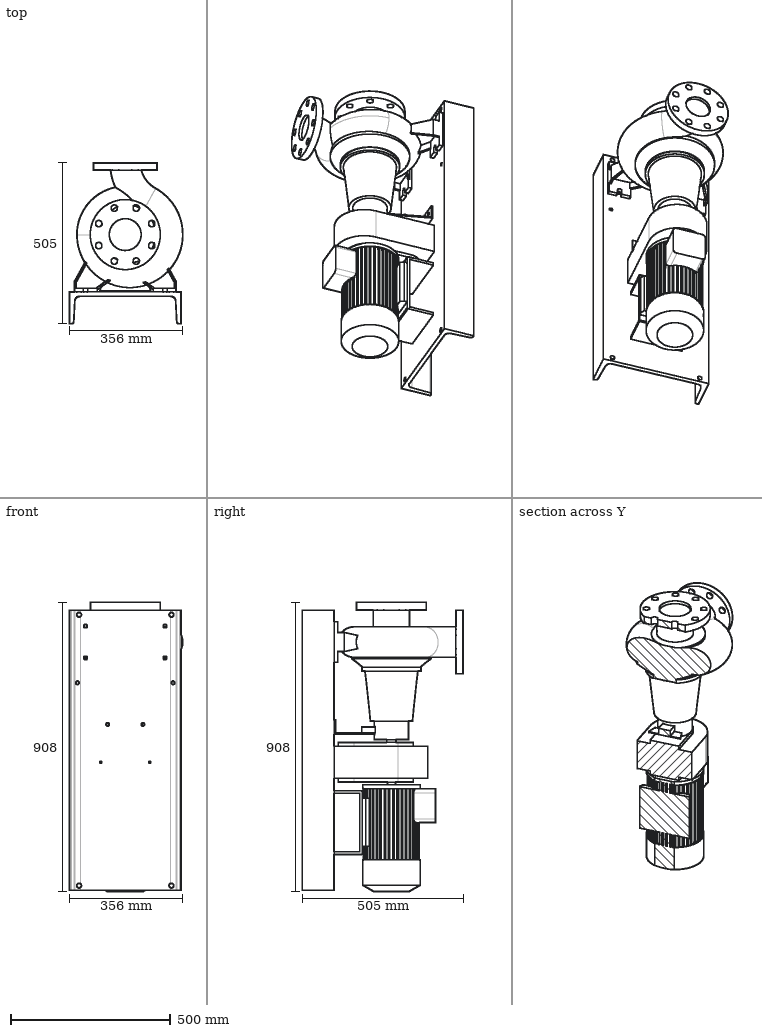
import cadquery as cq
import math


shaft_height = 180.0
channel_width = 350.0
channel_depth = 100.0
channel_length = 880.0
channel_top = 100.5
channel_bottom = channel_top - channel_length
web_thickness = 14.0
flange_mean_thickness = 16.0
flange_taper = 0.05
root_radius = 16.0
toe_radius = 8.0
anchor_hole_diameter = 14.0
anchor_hole_x = 145.0
anchor_hole_margin = 15.0
side_hole_diameter = 10.0
side_hole_x = 150.0
side_hole_z = -128.0
guard_hole_diameter = 6.0
guard_hole_x = 77.0

suction_face_z = 125.0
suction_flange_diameter = 220.0
suction_flange_thickness = 25.0
suction_bolt_circle = 180.0
suction_bore = 100.0
suction_neck_diameter = 115.0
discharge_face_y = 225.0
discharge_flange_diameter = 200.0
discharge_flange_thickness = 23.0
discharge_bolt_circle = 160.0
discharge_bore = 80.0
bolt_hole_diameter = 20.0
bolt_count = 8
bore_depth = 10.0

tube_radius = 48.0
scroll_center_x = 14.5
scroll_radius = 118.5
tongue_outer_radius = scroll_radius - scroll_center_x + tube_radius
tongue_end_tube_radius = 38.0
tongue_sweep = 120.0
tongue_section_count = 5
side_wall_radius = 95.0
side_wall_z = 37.0

cover_top_z = -30.0
cover_rim_z = -52.0
cover_rim_radius = 125.0
cover_cone_end_z = -79.0
cover_cone_end_radius = 91.0
collar_end_z = -91.0
collar_radius = 93.0
bearing_taper_end_z = -248.5
bearing_taper_top_radius = 83.5
bearing_taper_end_radius = 66.5
bearing_end_z = -306.5
bearing_radius = 54.0
pump_shaft_radius = 15.0

foot_outer_x = 160.0
foot_plate_thickness = 12.0
foot_plate_height = 128.0
foot_slot_width = 14.0
foot_hole_x = 125.0
foot_hole_z = 50.0
foot_hole_diameter = 10.0
foot_wall_thickness = 6.0
foot_web_thickness = 12.0
foot_outer_knee_y = -148.0
foot_outer_end = (117.0, -70.0)
foot_inner_base_x = 88.0
foot_inner_knee_y = -173.0
foot_inner_end = (30.0, -132.0)
foot_narrow_y = -70.0
foot_narrow_half_height = 13.0
foot_wide_half_height = 30.0

rear_foot_half_width = 80.0
rear_foot_thickness = 4.5
rear_foot_top_z = -244.0
rear_foot_bottom_z = -290.0
rear_foot_hole_x = 55.0
rear_foot_hole_z = -258.5
rear_foot_hole_diameter = 10.0
rear_foot_block_half_width = 20.0
rear_foot_block_top_z = -266.0
rear_foot_block_end_y = -93.5
rear_foot_strip_end_half_width = 45.0
rear_foot_strip_end_y = -52.0
rear_foot_block_inner_y = -50.0

guard_top_z = -327.0
guard_bottom_z = -428.0
guard_radius = 94.0
guard_center_y = 20.0
guard_rim_height = 12.0
guard_rim_radius = 49.0
guard_rim_end_y = -167.0

motor_shaft_radius = 13.0
motor_top_z = -447.5
motor_flange_end_z = -460.5
motor_radius = 90.5
fin_end_z = -684.0
fin_tip_radius = 88.0
fin_root_radius = 79.0
fin_width = 9.0
fin_count = 40
fan_cover_end_z = -763.5
fan_cover_tip_z = -783.0
fan_cover_tip_radius = 56.0
terminal_box_width = 107.0
terminal_box_height = 106.0
terminal_box_end_y = 139.0
terminal_box_edge_radius = 12.0
motor_foot_top_z = -490.0
motor_foot_bottom_z = -641.0
motor_foot_half_width = 85.0
motor_foot_edge_y = -81.0
motor_foot_shoulder_half_width = 78.0
motor_foot_shoulder_y = -69.0

bracket_half_width = 85.0
bracket_face_y = -91.0
bracket_thickness = 9.0
bracket_top_z = -466.0
bracket_bottom_z = -667.0
bracket_corner_chamfer = 3.0


def box_between(x_range, y_range, z_range):
    """Box given by its limits along each axis."""
    size = [high - low for low, high in (x_range, y_range, z_range)]
    corner = (x_range[0], y_range[0], z_range[0])
    return cq.Workplane("XY").box(*size, centered=False).translate(corner)


def cylinder_between(radius, bottom_z, top_z, center=(0, 0)):
    """Upright cylinder between two heights."""
    plane = cq.Workplane("XY", origin=(center[0], center[1], bottom_z))
    return plane.circle(radius).extrude(top_z - bottom_z)


def holes_along_y(points, diameter, depth):
    """Drills running back from the mounting plane y = -shaft_height to both sides by depth."""
    plane = cq.Workplane("XZ", origin=(0, -shaft_height, 0))
    return plane.pushPoints(points).circle(diameter / 2).extrude(depth, both=True)


def make_baseplate():
    half_width = channel_width / 2
    tip_y = -shaft_height - channel_depth
    web_inner_y = -shaft_height - web_thickness
    toe_x = half_width - flange_mean_thickness + flange_taper * channel_depth / 2
    root_x = toe_x - flange_taper * (channel_depth - web_thickness)
    outline = [
        (-half_width, -shaft_height),
        (half_width, -shaft_height),
        (half_width, tip_y),
        (toe_x, tip_y),
        (root_x, web_inner_y),
        (-root_x, web_inner_y),
        (-toe_x, tip_y),
        (-half_width, tip_y),
    ]
    bottom_plane = cq.Workplane("XY", origin=(0, 0, channel_bottom))
    channel = bottom_plane.polyline(outline).close().extrude(channel_length)
    middle_z = channel_bottom + channel_length / 2
    for side in (-1, 1):
        root_edge = cq.selectors.NearestToPointSelector((side * root_x, web_inner_y, middle_z))
        channel = channel.edges("|Z").edges(root_edge).fillet(root_radius)
        toe_edge = cq.selectors.NearestToPointSelector((side * toe_x, tip_y, middle_z))
        channel = channel.edges("|Z").edges(toe_edge).fillet(toe_radius)

    guard_hole_z = (guard_top_z + guard_bottom_z) / 2
    anchor_rows = (channel_top - anchor_hole_margin, channel_bottom + anchor_hole_margin)
    hole_rows = [
        (anchor_hole_x, anchor_rows, anchor_hole_diameter),
        (foot_hole_x, (foot_hole_z, -foot_hole_z), foot_hole_diameter),
        (side_hole_x, (side_hole_z,), side_hole_diameter),
        (rear_foot_hole_x, (rear_foot_hole_z,), rear_foot_hole_diameter),
        (guard_hole_x, (guard_hole_z,), guard_hole_diameter),
    ]
    for x, rows, diameter in hole_rows:
        points = [(side * x, z) for side in (-1, 1) for z in rows]
        channel = channel.cut(holes_along_y(points, diameter, web_thickness + root_radius))
    return channel


def make_tube_arc(center, radius, start_angle, sweep):
    """Round tube bent in the XY plane, running counterclockwise from start_angle."""
    section = cq.Workplane("XZ").center(radius, 0).circle(tube_radius)
    arc = section.revolve(sweep, (-radius, 0), (-radius, 1))
    return arc.rotate((0, 0, 0), (0, 0, 1), start_angle).translate((center[0], center[1], 0))


def make_tongue():
    """Narrowing start of the volute, bent about the shaft with a constant outer radius."""
    sections = []
    for index in range(tongue_section_count):
        fraction = index / (tongue_section_count - 1)
        angle = math.radians(180 - fraction * tongue_sweep)
        radius = tube_radius + fraction * (tongue_end_tube_radius - tube_radius)
        outward = cq.Vector(math.cos(angle), math.sin(angle), 0)
        along = cq.Vector(math.sin(angle), -math.cos(angle), 0)
        center = outward * (tongue_outer_radius - radius)
        sections.append(cq.Wire.makeCircle(radius, center, along))
    return cq.Workplane(cq.Solid.makeLoft(sections))


def make_volute():
    bend_radius = (scroll_center_x**2 + discharge_face_y**2 - scroll_radius**2) / (
        2 * (scroll_radius + scroll_center_x)
    )
    seam_angle = math.degrees(math.atan2(discharge_face_y, bend_radius - scroll_center_x))
    scroll = make_tube_arc((scroll_center_x, 0), scroll_radius, 180, 180 + seam_angle)
    outlet = make_tube_arc((bend_radius, discharge_face_y), bend_radius, 180, seam_angle)
    side_walls = cylinder_between(side_wall_radius, -side_wall_z, side_wall_z)
    return side_walls.union(scroll).union(outlet).union(make_tongue())


def make_pipe_flange(diameter, thickness, bolt_circle):
    """Flange with its face at Z = 0, the bolt holes straddling the axes."""
    flange = cylinder_between(diameter / 2, -thickness, 0)
    half_step = 180 / bolt_count
    holes = cq.Workplane("XY").polarArray(bolt_circle / 2, half_step, 360, bolt_count)
    return flange.cut(holes.circle(bolt_hole_diameter / 2).extrude(-thickness))


def make_bearing_bracket():
    """Casing cover, tapered bracket, bearing housing and shaft end, turned about Z."""
    profile = [
        (0, cover_top_z),
        (cover_rim_radius, cover_top_z),
        (cover_rim_radius, cover_rim_z),
        (cover_cone_end_radius, cover_cone_end_z),
        (collar_radius, cover_cone_end_z),
        (collar_radius, collar_end_z),
        (bearing_taper_top_radius, collar_end_z),
        (bearing_taper_end_radius, bearing_taper_end_z),
        (bearing_radius, bearing_taper_end_z),
        (bearing_radius, bearing_end_z),
        (pump_shaft_radius, bearing_end_z),
        (pump_shaft_radius, guard_top_z + guard_rim_height),
        (0, guard_top_z + guard_rim_height),
    ]
    return cq.Workplane("XZ").polyline(profile).close().revolve(360, (0, 0), (0, 1))


def make_front_foot():
    """Foot on the +X side: slotted plate with two flared walls joined by a thin web."""
    plate_y = -shaft_height + foot_plate_thickness
    half_height = foot_plate_height / 2
    plate_x = (foot_inner_base_x, foot_outer_x)
    plate = box_between(plate_x, (-shaft_height, plate_y), (-half_height, half_height))
    for end in (-1, 1):
        slot_run = 2 * (half_height - foot_hole_z) + foot_slot_width
        slot = cq.Workplane("XZ", origin=(0, plate_y, 0)).center(foot_hole_x, end * half_height)
        plate = plate.cut(slot.slot2D(slot_run, foot_slot_width, 90).extrude(foot_plate_thickness))

    outer_line = [
        (foot_outer_x, -shaft_height),
        (foot_outer_x, foot_outer_knee_y),
        foot_outer_end,
    ]
    inner_line = [
        foot_inner_end,
        (foot_inner_base_x, foot_inner_knee_y),
        (foot_inner_base_x, -shaft_height),
    ]
    profile = cq.Workplane("XY", origin=(0, 0, -foot_wide_half_height))
    profile = profile.polyline(outer_line + inner_line).close()
    block = profile.extrude(2 * foot_wide_half_height)

    pocket_plane = cq.Workplane("XY", origin=(0, 0, foot_web_thickness / 2))
    pocket_outline = pocket_plane.polyline(outer_line + inner_line).close()
    pocket = pocket_outline.offset2D(-foot_wall_thickness, "intersection").extrude(foot_wide_half_height)
    block = block.cut(pocket).cut(pocket.mirror("XY"))

    flare = [
        (foot_narrow_y, foot_narrow_half_height),
        (foot_outer_knee_y, foot_wide_half_height),
        (-shaft_height, foot_wide_half_height),
        (-shaft_height, -foot_wide_half_height),
        (foot_outer_knee_y, -foot_wide_half_height),
        (foot_narrow_y, -foot_narrow_half_height),
    ]
    block = block.intersect(cq.Workplane("YZ").polyline(flare).close().extrude(foot_outer_x))
    return plate.union(block)


def make_rear_foot():
    x_range = (-rear_foot_half_width, rear_foot_half_width)
    upright_y = -shaft_height + rear_foot_thickness
    strip_top_z = rear_foot_bottom_z + rear_foot_thickness
    upright = box_between(x_range, (-shaft_height, upright_y), (rear_foot_bottom_z, rear_foot_top_z))
    holes = [(side * rear_foot_hole_x, rear_foot_hole_z) for side in (-1, 1)]
    upright = upright.cut(holes_along_y(holes, rear_foot_hole_diameter, rear_foot_thickness))
    strip_outline = [
        (-rear_foot_half_width, -shaft_height),
        (rear_foot_half_width, -shaft_height),
        (rear_foot_strip_end_half_width, rear_foot_strip_end_y),
        (-rear_foot_strip_end_half_width, rear_foot_strip_end_y),
    ]
    strip_plane = cq.Workplane("XY", origin=(0, 0, rear_foot_bottom_z))
    strip = strip_plane.polyline(strip_outline).close().extrude(rear_foot_thickness)
    block_x = (-rear_foot_block_half_width, rear_foot_block_half_width)
    block_y = (rear_foot_block_end_y, rear_foot_block_inner_y)
    block = box_between(block_x, block_y, (strip_top_z, rear_foot_block_top_z))
    return upright.union(strip).union(block)


def make_pump():
    suction_flange = make_pipe_flange(suction_flange_diameter, suction_flange_thickness, suction_bolt_circle)
    suction_flange = suction_flange.translate((0, 0, suction_face_z))
    discharge_flange = make_pipe_flange(
        discharge_flange_diameter, discharge_flange_thickness, discharge_bolt_circle
    )
    discharge_flange = discharge_flange.rotate((0, 0, 0), (1, 0, 0), -90)
    discharge_flange = discharge_flange.translate((0, discharge_face_y, 0))
    front_foot = make_front_foot()

    pump = make_volute()
    pump = pump.union(cylinder_between(suction_neck_diameter / 2, 0, suction_face_z))
    pump = pump.union(make_bearing_bracket())
    pump = pump.union(suction_flange).union(discharge_flange)
    pump = pump.union(front_foot).union(front_foot.mirror("YZ"))
    pump = pump.union(make_rear_foot())

    pump = pump.cut(cylinder_between(suction_bore / 2, suction_face_z - bore_depth, suction_face_z))
    discharge_recess = cq.Workplane("XZ", origin=(0, discharge_face_y, 0)).circle(discharge_bore / 2)
    return pump.cut(discharge_recess.extrude(bore_depth))


def make_guard():
    body = cylinder_between(guard_radius, guard_bottom_z, guard_top_z, (0, guard_center_y))
    skirt_y = (-shaft_height, guard_center_y)
    body = body.union(box_between((-guard_radius, guard_radius), skirt_y, (guard_bottom_z, guard_top_z)))
    rim_length = guard_center_y + guard_rim_radius - guard_rim_end_y
    rim_middle_y = guard_center_y + guard_rim_radius - rim_length / 2
    rim_plane = cq.Workplane("XY", origin=(0, rim_middle_y, guard_bottom_z - guard_rim_height))
    rim_height = guard_top_z - guard_bottom_z + 2 * guard_rim_height
    return body.union(rim_plane.slot2D(rim_length, 2 * guard_rim_radius, 90).extrude(rim_height))


def make_motor_body():
    """Shaft end, front flange, finless core and fan cover, turned about Z."""
    shaft_end_z = guard_bottom_z - guard_rim_height
    profile = [
        (0, shaft_end_z),
        (motor_shaft_radius, shaft_end_z),
        (motor_shaft_radius, motor_top_z),
        (motor_radius, motor_top_z),
        (motor_radius, motor_flange_end_z),
        (fin_root_radius, motor_flange_end_z),
        (fin_root_radius, fin_end_z),
        (motor_radius, fin_end_z),
        (motor_radius, fan_cover_end_z),
        (fan_cover_tip_radius, fan_cover_tip_z),
        (0, fan_cover_tip_z),
    ]
    return cq.Workplane("XZ").polyline(profile).close().revolve(360, (0, 0), (0, 1))


def make_fins():
    """Radial cooling fins around the core, one box turned to each position."""
    length = motor_flange_end_z - fin_end_z
    buried_radius = fin_root_radius / 2
    fin_middle_radius = (fin_tip_radius + buried_radius) / 2
    fin_depth = fin_tip_radius - buried_radius
    spots = cq.Workplane("XY", origin=(0, 0, fin_end_z)).polarArray(fin_middle_radius, 0, 360, fin_count)
    return spots.rect(fin_depth, fin_width).extrude(length)


def make_terminal_box():
    half_width = terminal_box_width / 2
    bottom_z = motor_flange_end_z - terminal_box_height
    box = box_between((-half_width, half_width), (0, terminal_box_end_y), (bottom_z, motor_flange_end_z))
    return box.edges("|Y").fillet(terminal_box_edge_radius)


def make_motor_foot():
    outline = [
        (-motor_foot_half_width, bracket_face_y),
        (motor_foot_half_width, bracket_face_y),
        (motor_foot_half_width, motor_foot_edge_y),
        (motor_foot_shoulder_half_width, motor_foot_shoulder_y),
        (-motor_foot_shoulder_half_width, motor_foot_shoulder_y),
        (-motor_foot_half_width, motor_foot_edge_y),
    ]
    plane = cq.Workplane("XY", origin=(0, 0, motor_foot_bottom_z))
    return plane.polyline(outline).close().extrude(motor_foot_top_z - motor_foot_bottom_z)


def make_motor():
    motor = make_motor_body().union(make_fins())
    return motor.union(make_terminal_box()).union(make_motor_foot())


def make_motor_bracket():
    x_range = (-bracket_half_width, bracket_half_width)
    bracket = box_between(x_range, (-shaft_height, bracket_face_y), (bracket_bottom_z, bracket_top_z))
    bracket = bracket.edges("|X and >Y").chamfer(bracket_corner_chamfer)
    opening_y = (-shaft_height, bracket_face_y - bracket_thickness)
    opening_z = (bracket_bottom_z + bracket_thickness, bracket_top_z - bracket_thickness)
    return bracket.cut(box_between(x_range, opening_y, opening_z))


baseplate = make_baseplate()
pump = make_pump()
guard = make_guard()
motor = make_motor()
motor_bracket = make_motor_bracket()

result = cq.Compound.makeCompound(
    [baseplate.val(), pump.val(), guard.val(), motor.val(), motor_bracket.val()]
)